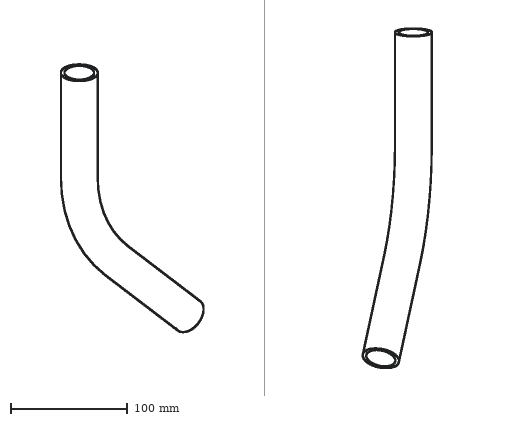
import cadquery as cq
import math

outer_diameter = 31.8
inner_diameter = 25.5
leg_length = 101.3
bend_radius = 127.5
bend_angle = 45.0


def centreline_bend_point(angle_degrees):
    """Point (y, z) on the bend, measured from its upper end at the origin."""
    angle = math.radians(angle_degrees)
    return bend_radius * (1 - math.cos(angle)), -bend_radius * math.sin(angle)


bend_middle = centreline_bend_point(bend_angle / 2)
bend_end = centreline_bend_point(bend_angle)
lower_end = (
    bend_end[0] + leg_length * math.sin(math.radians(bend_angle)),
    bend_end[1] - leg_length * math.cos(math.radians(bend_angle)),
)
centreline = (
    cq.Workplane("YZ")
    .moveTo(0, leg_length)
    .lineTo(0, 0)
    .threePointArc(bend_middle, bend_end)
    .lineTo(*lower_end)
)

result = (
    cq.Workplane("XY", origin=(0, 0, leg_length))
    .circle(outer_diameter / 2)
    .circle(inner_diameter / 2)
    .sweep(centreline)
)